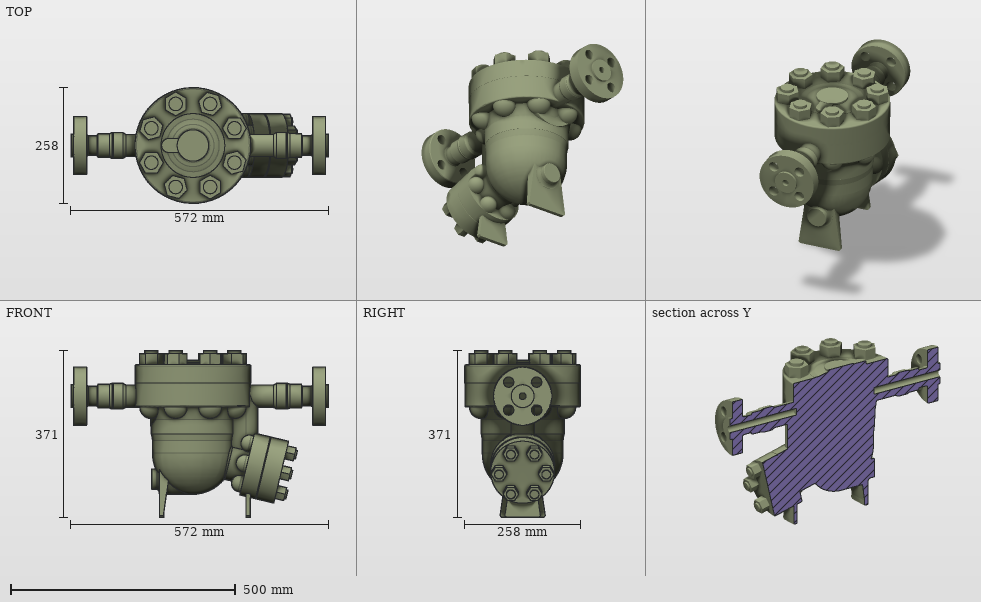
import cadquery as cq
import math


COVER_DIA = 258.0
BODY_FLANGE_DIA = 257.0
COVER_TOP_Z = 70.0
COVER_SEAM_Z = 28.8
COVER_EDGE_FILLET = 3.5
BODY_FLANGE_BOTTOM_Z = -24.0
BODY_FLANGE_FILLET = 3.0

COVER_PAD_DIA = 142.0
COVER_PAD_HEIGHT = 1.0
CONE_BASE_DIA = 117.0
CONE_STEP_DIA = 94.0
CONE_STEP_HEIGHT = 3.5
CONE_TOP_DIA = 75.0
CONE_HEIGHT = 5.0
KNOB_DIA = 70.0
KNOB_TOP_Z = 80.3
TAB_WIDTH = 31.0
TAB_REACH = 69.5
TAB_TOP_Z = 78.5

COVER_BOLT_COUNT = 8
COVER_BOLT_CIRCLE_DIA = 200.0
COVER_STUD_DIA = 30.0
COVER_NUT_FLATS = 46.0
COVER_NUT_HEIGHT = 24.5
COVER_STUD_TOP_Z = 101.3
COVER_BOSS_RADIUS = 26.0

NECK_TOP_RADIUS = 98.0
BAND_RADIUS = 93.0
BAND_TOP_Z = -52.0
BAND_BOTTOM_Z = -84.0
BAND_STEP = 0.8
SHELL_RADIUS = 90.0
SHELL_TOP_Z = -99.0
DOME_START_Z = -126.0
DOME_DEPTH = 92.5
INLET_PAD_RADIUS = 66.0
INLET_PAD_REACH = 94.0

RUN_CENTRE_X = 15.0
RUN_HALF_LENGTH = 286.0
RAISED_FACE_DIA = 50.8
RAISED_FACE_START = 280.0
PIPE_FLANGE_DIA = 130.0
PIPE_FLANGE_START = 250.5
PIPE_FLANGE_CHAMFER = 1.5
HUB_DIA = 44.0
HUB_START = 228.5
HUB_ROOT_DIA = 48.0
HUB_ROOT_START = 247.5
HUB_SHOULDER_START = 226.0
SOCKET_DIA = 53.0
SOCKET_START = 201.0
COLLAR_DIA = 58.0
BEAD_END = 195.0
BEAD_GROOVE_DIA = 56.5
BEAD_GROOVE = 193.0
COLLAR_END = 191.5
COLLAR_START = 171.0
COLLAR_TAPER_START = 164.0
PIPE_DIA = 50.0
BORE_DIA = 15.0
BORE_DEPTH = 180.0
PIPE_BOLT_HOLE_DIA = 23.0
PIPE_BOLT_COUNT = 4
PIPE_BOLT_CIRCLE_DIA = 88.0

DUCT_AXIS_X = 118.5
DUCT_RADIUS = 26.0
ELBOW_RADIUS = 27.0
ELBOW_Z = -4.0
DUCT_BOTTOM_Z = -125.0

STRAINER_ORIGIN_Z = -122.0
STRAINER_SLOPE = 13.5
STRAINER_NECK_DIA = 83.0
STRAINER_NECK_DROP = 3.5
NECK_FLARE_DIA = 104.0
NECK_FLARE_START = 68.0
NECK_FLARE_END = 84.0
STRAINER_FLANGE_DIA = 142.0
STRAINER_FLANGE_START = 124.0
STRAINER_SEAM = 161.0
STRAINER_SEAM_GAP = 2.0
STRAINER_SEAM_DEPTH = 1.5
STRAINER_END = 202.0
STRAINER_BOLT_COUNT = 6
STRAINER_BOLT_CIRCLE_DIA = 105.0
STRAINER_STUD_DIA = 20.0
STRAINER_NUT_FLATS = 30.0
STRAINER_NUT_HEIGHT = 20.0
STRAINER_STUD_PROJECTION = 24.0
STRAINER_BOSS_RADIUS = 19.0
STRAINER_BOSS_STRAIGHT = 5.5

DRAIN_Z = -184.5
DRAIN_FACE_X = -92.0
DRAIN_CAP_DIA = 46.0
DRAIN_FACE_DIA = 44.0
DRAIN_CAP_END_X = -80.0
DRAIN_FLARE_DIA = 64.0
DRAIN_FLARE_END_X = -75.0
DRAIN_BODY_RADIUS = 33.0
DRAIN_BODY_Z = DOME_START_Z - DOME_DEPTH + DRAIN_BODY_RADIUS
DRAIN_BODY_END_X = 8.0

FOOT_BOTTOM_Z = -269.7
LEFT_FOOT_WIDTH = 102.0
RIGHT_FOOT_WIDTH = 80.0
FOOT_SIDE_SLOPE = 0.145
FOOT_CORNER_CHAMFER = 4.0
FOOT_THICKNESS = 10.0
LEFT_FOOT_X = -74.3
LEFT_FOOT_TOP_Z = -161.0
LEFT_FOOT_TAPER_Z = -258.0
LEFT_FOOT_TAPER_SLOPE = 0.14
RIGHT_FOOT_X = 118.0
RIGHT_FOOT_TOP_Z = -217.0


def cylinder(radius, start, end, axis):
    """Cylinder along a global axis through the origin, between two positions on it."""
    direction = cq.Vector(*axis)
    return cq.Workplane(cq.Solid.makeCylinder(radius, end - start, direction * start, direction))


def hex_prism(flats, height, corner_angle):
    """Hexagon standing on Z = 0 with one corner at the given angle."""
    corner_dia = flats / math.cos(math.radians(30))
    prism = cq.Workplane("XY").polygon(6, corner_dia).extrude(height)
    return prism.rotate((0, 0, 0), (0, 0, 1), corner_angle)


def on_circle(shape, count, circle_dia, first_angle=0.0):
    """Copies of a shape set out on a bolt circle, each turned with its position."""
    group = cq.Workplane("XY")
    for i in range(count):
        angle = first_angle + 360.0 * i / count
        group = group.add(shape.translate((circle_dia / 2, 0, 0)).rotate((0, 0, 0), (0, 0, 1), angle))
    return group


def make_shell():
    """Neck, band, straight shell and domed bottom as one turned body."""
    dome_bottom_z = DOME_START_Z - DOME_DEPTH
    diagonal = math.sqrt(0.5)
    dome_mid = (SHELL_RADIUS * diagonal, DOME_START_Z - DOME_DEPTH * diagonal)
    profile = (
        cq.Workplane("XZ")
        .moveTo(0, COVER_SEAM_Z)
        .lineTo(NECK_TOP_RADIUS, COVER_SEAM_Z)
        .lineTo(NECK_TOP_RADIUS, BODY_FLANGE_BOTTOM_Z)
        .lineTo(BAND_RADIUS, BAND_TOP_Z)
        .lineTo(BAND_RADIUS, BAND_BOTTOM_Z)
        .lineTo(BAND_RADIUS - BAND_STEP, BAND_BOTTOM_Z)
        .lineTo(SHELL_RADIUS, SHELL_TOP_Z)
        .lineTo(SHELL_RADIUS, DOME_START_Z)
        .threePointArc(dome_mid, (0, dome_bottom_z))
        .close()
    )
    return profile.revolve(360, (0, 0, 0), (0, 1, 0))


def make_flanges():
    """Cover and body flange, stacked, with the round pad below the inlet."""
    cover = cylinder(COVER_DIA / 2, COVER_SEAM_Z, COVER_TOP_Z, (0, 0, 1))
    cover = cover.faces(">Z").edges().fillet(COVER_EDGE_FILLET)
    flange = cylinder(BODY_FLANGE_DIA / 2, BODY_FLANGE_BOTTOM_Z, COVER_SEAM_Z, (0, 0, 1))
    flange = flange.faces("<Z").edges().fillet(BODY_FLANGE_FILLET)
    inlet_pad = cylinder(INLET_PAD_RADIUS, 0, INLET_PAD_REACH, (-1, 0, 0))
    inlet_pad = inlet_pad.intersect(cylinder(COVER_DIA / 2, -INLET_PAD_RADIUS, COVER_SEAM_Z, (0, 0, 1)))
    return cover.union(flange).union(inlet_pad)


def make_cover_centre():
    """Low pad, cone and knob in the middle of the cover, with a round-ended tab towards -X."""
    pad_top_z = COVER_TOP_Z + COVER_PAD_HEIGHT
    profile = (
        cq.Workplane("XZ")
        .moveTo(0, COVER_TOP_Z)
        .lineTo(COVER_PAD_DIA / 2, COVER_TOP_Z)
        .lineTo(COVER_PAD_DIA / 2, pad_top_z)
        .lineTo(CONE_BASE_DIA / 2, pad_top_z)
        .lineTo(CONE_STEP_DIA / 2, COVER_TOP_Z + CONE_STEP_HEIGHT)
        .lineTo(CONE_TOP_DIA / 2, COVER_TOP_Z + CONE_HEIGHT)
        .lineTo(KNOB_DIA / 2, COVER_TOP_Z + CONE_HEIGHT)
        .lineTo(KNOB_DIA / 2, KNOB_TOP_Z)
        .lineTo(0, KNOB_TOP_Z)
        .close()
    )
    centre = profile.revolve(360, (0, 0, 0), (0, 1, 0))
    tab = (
        cq.Workplane("XY", origin=(-TAB_REACH / 2, 0, COVER_TOP_Z))
        .slot2D(TAB_REACH + TAB_WIDTH / 2, TAB_WIDTH)
        .extrude(TAB_TOP_Z - COVER_TOP_Z)
        .translate((TAB_WIDTH / 4, 0, 0))
    )
    return centre.union(tab)


def make_cover_bolting():
    """Nuts and studs on the cover, and the round bosses under the body flange."""
    first_angle = 180.0 / COVER_BOLT_COUNT
    nut = hex_prism(COVER_NUT_FLATS, COVER_NUT_HEIGHT, -first_angle).translate((0, 0, COVER_TOP_Z))
    stud = cylinder(COVER_STUD_DIA / 2, COVER_TOP_Z, COVER_STUD_TOP_Z, (0, 0, 1))
    boss = cq.Workplane("XY").sphere(COVER_BOSS_RADIUS).translate((0, 0, BODY_FLANGE_BOTTOM_Z))
    bolting = nut.union(stud).add(boss)
    return on_circle(bolting, COVER_BOLT_COUNT, COVER_BOLT_CIRCLE_DIA, first_angle)


def make_pipe_end(side):
    """One half of the pipe run; side is +1 towards +X and -1 towards -X."""
    steps = [
        (PIPE_DIA, COLLAR_TAPER_START),
        (COLLAR_DIA, COLLAR_START),
        (COLLAR_DIA, COLLAR_END),
        (BEAD_GROOVE_DIA, BEAD_GROOVE),
        (COLLAR_DIA, BEAD_END),
        (SOCKET_DIA, SOCKET_START),
        (SOCKET_DIA, HUB_SHOULDER_START),
        (HUB_DIA, HUB_START),
        (HUB_DIA, HUB_ROOT_START),
        (HUB_ROOT_DIA, PIPE_FLANGE_START),
        (PIPE_FLANGE_DIA - 2 * PIPE_FLANGE_CHAMFER, PIPE_FLANGE_START),
        (PIPE_FLANGE_DIA, PIPE_FLANGE_START + PIPE_FLANGE_CHAMFER),
        (PIPE_FLANGE_DIA, RAISED_FACE_START),
        (RAISED_FACE_DIA, RAISED_FACE_START),
        (RAISED_FACE_DIA, RUN_HALF_LENGTH),
    ]
    profile = cq.Workplane("XY").moveTo(0, 0).lineTo(0, PIPE_DIA / 2)
    for dia, distance in steps:
        profile = profile.lineTo(side * distance, dia / 2)
    profile = profile.lineTo(side * RUN_HALF_LENGTH, 0).close()
    half_run = profile.revolve(360, (0, 0, 0), (1, 0, 0))
    return half_run.translate((RUN_CENTRE_X, 0, 0))


def make_pipe_holes(side):
    """Bore and flange bolt holes of one half of the pipe run."""
    axis = (side, 0, 0)
    bore = cylinder(BORE_DIA / 2, RUN_HALF_LENGTH - BORE_DEPTH, RUN_HALF_LENGTH, axis)
    holes = cq.Workplane("XY").add(bore)
    for i in range(PIPE_BOLT_COUNT):
        angle = math.radians(360.0 * (i + 0.5) / PIPE_BOLT_COUNT)
        y = PIPE_BOLT_CIRCLE_DIA / 2 * math.cos(angle)
        z = PIPE_BOLT_CIRCLE_DIA / 2 * math.sin(angle)
        hole = cylinder(PIPE_BOLT_HOLE_DIA / 2, PIPE_FLANGE_START, RAISED_FACE_START, axis)
        holes = holes.add(hole.translate((0, y, z)))
    return holes.translate((RUN_CENTRE_X, 0, 0))


def make_duct():
    """Upright duct: a web from the shell with a round outer end, and a ball elbow at the pipe."""
    height = BODY_FLANGE_BOTTOM_Z - DUCT_BOTTOM_Z
    web = cq.Workplane("XY", origin=(0, 0, DUCT_BOTTOM_Z))
    web = web.box(DUCT_AXIS_X, 2 * DUCT_RADIUS, height, centered=(False, True, False))
    tube = cylinder(DUCT_RADIUS, DUCT_BOTTOM_Z, ELBOW_Z, (0, 0, 1)).translate((DUCT_AXIS_X, 0, 0))
    elbow = cq.Workplane("XY").sphere(ELBOW_RADIUS).translate((DUCT_AXIS_X, 0, ELBOW_Z))
    return web.union(tube).union(elbow)


def make_strainer():
    """Strainer neck, bolted flanges, nuts and bosses, built along Z and then tilted."""
    axis = (0, 0, 1)
    radius = STRAINER_FLANGE_DIA / 2
    gap_start = STRAINER_SEAM - STRAINER_SEAM_GAP / 2
    gap_end = STRAINER_SEAM + STRAINER_SEAM_GAP / 2
    neck = cylinder(STRAINER_NECK_DIA / 2, 0, STRAINER_FLANGE_START, axis)
    flare = cq.Solid.makeCone(
        NECK_FLARE_DIA / 2,
        STRAINER_NECK_DIA / 2,
        NECK_FLARE_END - NECK_FLARE_START,
        cq.Vector(0, 0, NECK_FLARE_START),
    )
    neck = neck.union(cq.Workplane(flare))
    neck = neck.translate((STRAINER_NECK_DROP, 0, 0))
    strainer = neck.union(cylinder(radius, STRAINER_FLANGE_START, gap_start, axis))
    strainer = strainer.union(cylinder(radius - STRAINER_SEAM_DEPTH, gap_start, gap_end, axis))
    strainer = strainer.union(cylinder(radius, gap_end, STRAINER_END, axis))

    nut = hex_prism(STRAINER_NUT_FLATS, STRAINER_NUT_HEIGHT, 0).translate((0, 0, STRAINER_END))
    stud_end = STRAINER_END + STRAINER_STUD_PROJECTION
    stud = cylinder(STRAINER_STUD_DIA / 2, STRAINER_END, stud_end, axis)
    boss_start = STRAINER_FLANGE_START - STRAINER_BOSS_STRAIGHT
    boss = cylinder(STRAINER_BOSS_RADIUS, boss_start, STRAINER_FLANGE_START, axis)
    boss_tip = cq.Workplane("XY").sphere(STRAINER_BOSS_RADIUS).translate((0, 0, boss_start))
    bolting = nut.union(stud).add(boss.union(boss_tip))
    bolts = on_circle(bolting, STRAINER_BOLT_COUNT, STRAINER_BOLT_CIRCLE_DIA, 90)
    for bolt in bolts.vals():
        strainer = strainer.union(cq.Workplane(bolt))

    tilted = strainer.rotate((0, 0, 0), (0, 1, 0), 90 + STRAINER_SLOPE)
    return tilted.translate((0, 0, STRAINER_ORIGIN_Z))


def make_drain():
    """Drain boss: plug end, flared neck, and a cylinder that runs under the dome."""
    flare_length = DRAIN_FLARE_END_X - DRAIN_CAP_END_X
    flare_rise = (DRAIN_FLARE_DIA - DRAIN_CAP_DIA) / 2
    arc_lag = math.sqrt(0.5)
    flare_mid = (
        DRAIN_CAP_END_X + flare_length * arc_lag,
        DRAIN_CAP_DIA / 2 + flare_rise * (1 - arc_lag),
    )
    profile = (
        cq.Workplane("XY")
        .moveTo(DRAIN_FACE_X, 0)
        .lineTo(DRAIN_FACE_X, DRAIN_FACE_DIA / 2)
        .lineTo(DRAIN_FACE_X + (DRAIN_CAP_DIA - DRAIN_FACE_DIA) / 2, DRAIN_CAP_DIA / 2)
        .lineTo(DRAIN_CAP_END_X, DRAIN_CAP_DIA / 2)
        .threePointArc(flare_mid, (DRAIN_FLARE_END_X, DRAIN_FLARE_DIA / 2))
        .lineTo(0, DRAIN_FLARE_DIA / 2)
        .lineTo(0, 0)
        .close()
    )
    plug = profile.revolve(360, (0, 0, 0), (1, 0, 0)).translate((0, 0, DRAIN_Z))
    body = cylinder(DRAIN_BODY_RADIUS, LEFT_FOOT_X + FOOT_THICKNESS / 2, DRAIN_BODY_END_X, (1, 0, 0))
    return plug.union(body.translate((0, 0, DRAIN_BODY_Z)))


def make_foot_plate(bottom_width, top_z, start_x, depth):
    """Trapezoid plate across Y, narrower at the top, from start_x towards +X."""
    bottom_half = bottom_width / 2
    top_half = bottom_half - FOOT_SIDE_SLOPE * (top_z - FOOT_BOTTOM_Z)
    corners = [
        (-bottom_half, FOOT_BOTTOM_Z),
        (bottom_half, FOOT_BOTTOM_Z),
        (top_half, top_z),
        (-top_half, top_z),
    ]
    plate = cq.Workplane("YZ", origin=(start_x, 0, 0)).polyline(corners).close().extrude(depth)
    return plate.faces("<Z").edges("|X").chamfer(FOOT_CORNER_CHAMFER)


def make_feet():
    """Left foot thickening upwards into the dome, and plain right foot under the strainer."""
    foot_inner_x = LEFT_FOOT_X + FOOT_THICKNESS
    growth = LEFT_FOOT_TAPER_SLOPE * (LEFT_FOOT_TOP_Z - LEFT_FOOT_TAPER_Z)
    side = (
        cq.Workplane("XZ")
        .moveTo(LEFT_FOOT_X, FOOT_BOTTOM_Z)
        .lineTo(foot_inner_x, FOOT_BOTTOM_Z)
        .lineTo(foot_inner_x, LEFT_FOOT_TAPER_Z)
        .lineTo(foot_inner_x + growth, LEFT_FOOT_TOP_Z)
        .lineTo(LEFT_FOOT_X, LEFT_FOOT_TOP_Z)
        .close()
        .extrude(LEFT_FOOT_WIDTH / 2, both=True)
    )
    left_depth = FOOT_THICKNESS + growth
    left = make_foot_plate(LEFT_FOOT_WIDTH, LEFT_FOOT_TOP_Z, LEFT_FOOT_X, left_depth).intersect(side)
    right = make_foot_plate(RIGHT_FOOT_WIDTH, RIGHT_FOOT_TOP_Z, RIGHT_FOOT_X, FOOT_THICKNESS)
    return left.union(right)


body = make_shell().union(make_flanges()).union(make_cover_centre())
body = body.union(make_duct()).union(make_strainer()).union(make_drain()).union(make_feet())
for cover_bolt in make_cover_bolting().vals():
    body = body.union(cq.Workplane(cover_bolt))
for run_side in (-1, 1):
    body = body.union(make_pipe_end(run_side))
for run_side in (-1, 1):
    for hole in make_pipe_holes(run_side).vals():
        body = body.cut(cq.Workplane(hole))

result = cq.Workplane(body.solids().val())